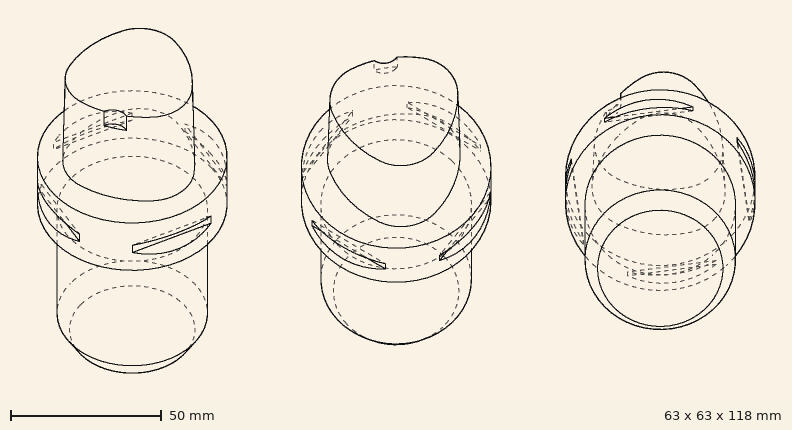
import cadquery as cq
import math

total_height = 118
collar_top = 80.0
collar_edge = 58.0
body_top = 55.9
tip_height = 7.5

collar_diameter = 63.0
body_diameter = 50.0
tip_diameter = 41.7

flank_distance = 19.6
lobe_distance = 22.5
flank_radius = 35.4
base_growth = 0.77

groove_count = 4
groove_first_angle = 45
groove_middle = 68.0
groove_floor_width = 3.3
groove_floor_distance = 27.79
groove_side_angle = 30

notch_depth = 6.5
notch_radius = 5.3
notch_floor_distance = 17.7


def polar(distance, degrees):
    angle = math.radians(degrees)
    return distance * math.cos(angle), distance * math.sin(angle)


def lobed_outline(height, growth):
    """Closed outline of three flat flank arcs tangent to three tighter lobe arcs."""
    flank = flank_distance + growth
    lobe = lobe_distance + growth
    radius = flank_radius + growth
    flank_offset = radius - flank
    lobe_radius = (radius**2 - flank_offset**2 - lobe**2 - flank_offset * lobe) / (
        2 * radius - 2 * lobe - flank_offset
    )
    lobe_x, lobe_y = polar(lobe - lobe_radius, -30)
    stretch = radius / (radius - lobe_radius)
    seam_x = lobe_x * stretch
    seam_y = flank_offset + (lobe_y - flank_offset) * stretch
    seam_distance = math.hypot(seam_x, seam_y)
    seam_half_angle = math.degrees(math.atan2(seam_x, -seam_y))

    outline = cq.Workplane("XY", origin=(0, 0, height))
    outline = outline.moveTo(*polar(seam_distance, -90 - seam_half_angle))
    for flank_angle in (-90, 30, 150):
        outline = outline.threePointArc(
            polar(flank, flank_angle),
            polar(seam_distance, flank_angle + seam_half_angle),
        )
        outline = outline.threePointArc(
            polar(lobe, flank_angle + 60),
            polar(seam_distance, flank_angle + 120 - seam_half_angle),
        )
    return outline.close().wire().val()


def turned_body():
    profile = [
        (0, 0),
        (tip_diameter / 2, 0),
        (body_diameter / 2, tip_height),
        (body_diameter / 2, body_top),
        (collar_diameter / 2, collar_edge),
        (collar_diameter / 2, collar_top),
        (0, collar_top),
    ]
    return cq.Workplane("XZ").polyline(profile).close().revolve(360, (0, 0), (0, 1))


def shank():
    base = lobed_outline(collar_top, base_growth)
    top = lobed_outline(total_height, 0)
    return cq.Workplane(cq.Solid.makeLoft([base, top], True))


def groove(angle):
    """Straight groove across the collar, with a flat floor and sloping sides."""
    mouth_distance = collar_diameter / 2 + 1.2
    floor_half = groove_floor_width / 2
    side_rise = (mouth_distance - groove_floor_distance) * math.tan(math.radians(groove_side_angle))
    mouth_half = floor_half + side_rise
    section = [
        (groove_floor_distance, groove_middle - floor_half),
        (mouth_distance, groove_middle - mouth_half),
        (mouth_distance, groove_middle + mouth_half),
        (groove_floor_distance, groove_middle + floor_half),
    ]
    cutter = cq.Workplane("XZ").polyline(section).close().extrude(collar_diameter / 2, both=True)
    return cutter.rotate((0, 0, 0), (0, 0, 1), angle)


def notch():
    """Upright round cutter on the -Y flank of the shank."""
    center_y = -(notch_floor_distance + notch_radius)
    plane = cq.Workplane("XY", origin=(0, center_y, total_height - notch_depth))
    return plane.circle(notch_radius).extrude(notch_depth)


result = turned_body().union(shank()).cut(notch())
for index in range(groove_count):
    result = result.cut(groove(groove_first_angle + index * 360 / groove_count))